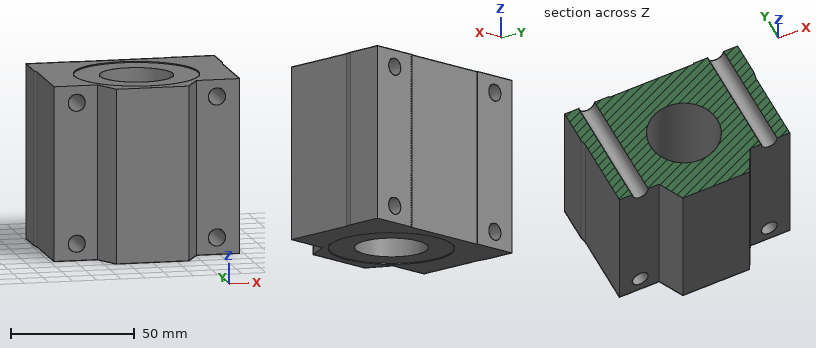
import cadquery as cq

WIDTH = 78.0
DEPTH = 59.5
HEIGHT = 72.0

BODY_WIDTH = 76.8
WIDE_SIDE_LENGTH = 15.05
TAPER_END = 18.0
FLANGE_DEPTH = 49.0
RIB_ROOT_WIDTH = 41.0
RIB_FRONT_WIDTH = 30.0
RELIEF_WIDTH = 38.1
RELIEF_DEPTH = 0.4

BORE_DIAMETER = 30.0
RECESS_DIAMETER = 51.0
RECESS_DEPTH = 0.5
BORE_TO_BACK = 30.0

HOLE_DIAMETER = 7.0
HOLE_SPACING = 58.0

BACK_Y = BORE_TO_BACK
FRONT_Y = BACK_Y - DEPTH


def make_body():
    """Extrude the symmetric profile over the full height."""
    right_half = [
        (0, BACK_Y - RELIEF_DEPTH),
        (RELIEF_WIDTH / 2, BACK_Y - RELIEF_DEPTH),
        (RELIEF_WIDTH / 2, BACK_Y),
        (WIDTH / 2, BACK_Y),
        (WIDTH / 2, BACK_Y - WIDE_SIDE_LENGTH),
        (BODY_WIDTH / 2, BACK_Y - TAPER_END),
        (BODY_WIDTH / 2, BACK_Y - FLANGE_DEPTH),
        (RIB_ROOT_WIDTH / 2, BACK_Y - FLANGE_DEPTH),
        (RIB_FRONT_WIDTH / 2, FRONT_Y),
        (0, FRONT_Y),
    ]
    return cq.Workplane("XY").polyline(right_half).mirrorY().extrude(HEIGHT)


def make_bore():
    """Through bore with a shallow recess in both end faces."""
    bore = cq.Workplane("XY").circle(BORE_DIAMETER / 2).extrude(HEIGHT)
    recess = cq.Workplane("XY").circle(RECESS_DIAMETER / 2).extrude(RECESS_DEPTH)
    top_recess = recess.translate((0, 0, HEIGHT - RECESS_DEPTH))
    return bore.union(recess).union(top_recess)


def make_mounting_holes():
    """Four holes through the flanges, from front to back."""
    return (
        cq.Workplane("XZ", origin=(0, BACK_Y, HEIGHT / 2))
        .rarray(HOLE_SPACING, HOLE_SPACING, 2, 2)
        .circle(HOLE_DIAMETER / 2)
        .extrude(DEPTH)
    )


result = make_body().cut(make_bore()).cut(make_mounting_holes())